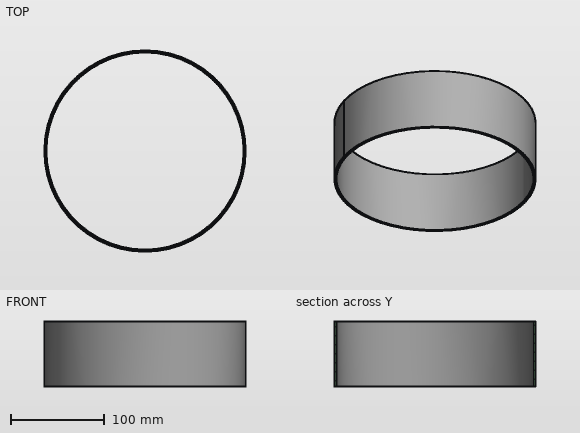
import cadquery as cq

outer_diameter = 215.0
wall = 2.5
height = 70.0
slit_width = 1.5
slit_offset = 0.97
edge_chamfer = 0.5

outer_radius = outer_diameter / 2
slit_length = 4 * wall

ring = (
    cq.Workplane("XY")
    .circle(outer_radius)
    .circle(outer_radius - wall)
    .extrude(height)
    .faces("<Z or >Z")
    .chamfer(edge_chamfer)
)

slit = (
    cq.Workplane("XY")
    .center(-outer_radius, slit_offset)
    .rect(slit_length, slit_width)
    .extrude(height)
)

result = ring.cut(slit)